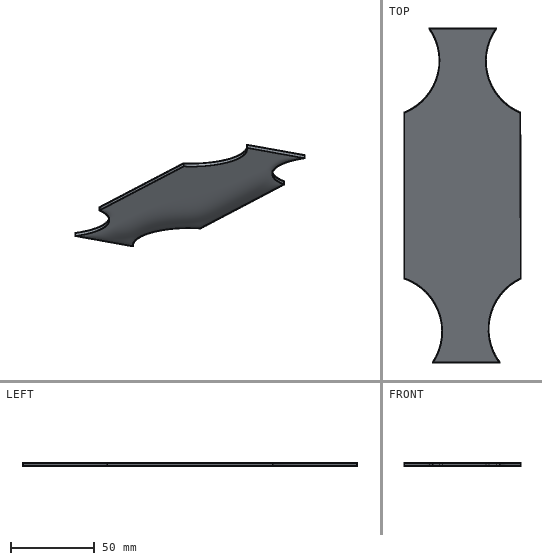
import cadquery as cq

thickness = 2.0
length = 199.2
width = 69.66
half_length = length / 2
half_width = width / 2

side_length = 98.9
side_end = side_length / 2
right_side_lean = 0.3

tab_width = 40.1
upper_tab_shift = 0.15
lower_tab_shift = 2.2

scallop_radius = 33.3


def tab_corners(shift, y):
    """Left and right outer corners of a tab centred at x = shift."""
    left = (shift - tab_width / 2, y)
    right = (shift + tab_width / 2, y)
    return left, right


upper_left, upper_right = tab_corners(upper_tab_shift, half_length)
lower_left, lower_right = tab_corners(lower_tab_shift, -half_length)

body_upper_left = (-half_width, side_end)
body_lower_left = (-half_width, -side_end)
body_lower_right = (half_width, -side_end)
body_upper_right = (half_width - right_side_lean, side_end)

outline = (
    cq.Workplane("XY")
    .workplane(offset=-thickness / 2)
    .moveTo(*upper_left)
    .lineTo(*upper_right)
    .radiusArc(body_upper_right, -scallop_radius)
    .lineTo(*body_lower_right)
    .radiusArc(lower_right, -scallop_radius)
    .lineTo(*lower_left)
    .radiusArc(body_lower_left, -scallop_radius)
    .lineTo(*body_upper_left)
    .radiusArc(upper_left, -scallop_radius)
    .close()
)

result = outline.extrude(thickness)